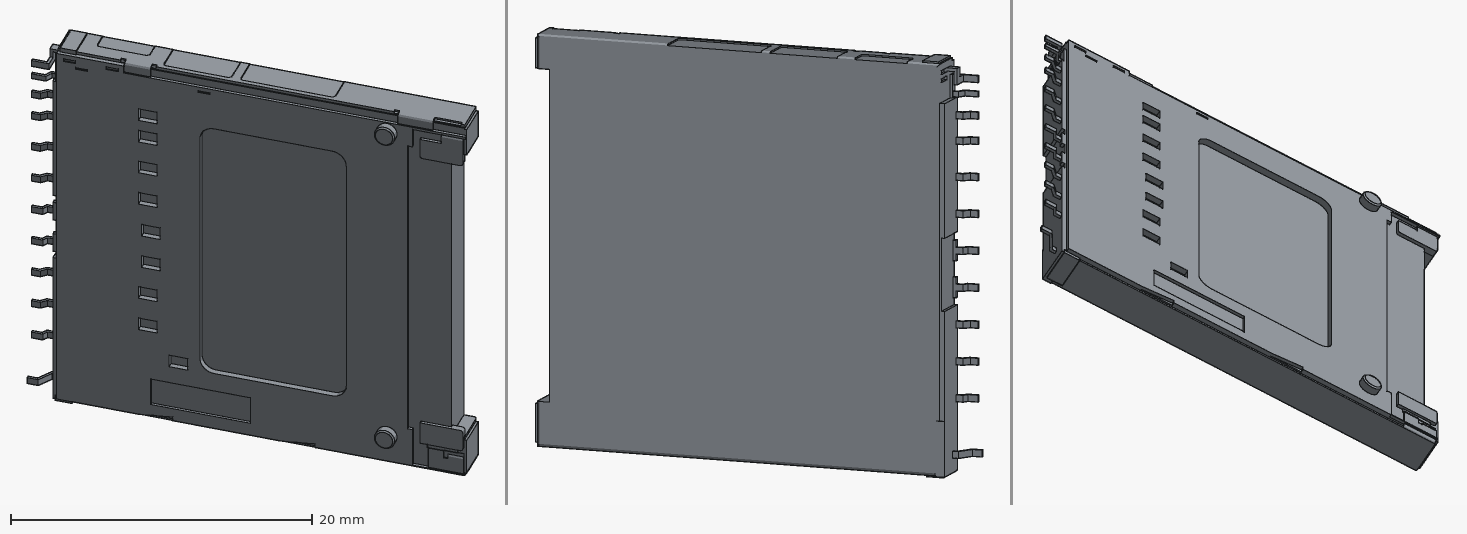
import cadquery as cq


back_y = 1.705
front_y = -1.105
peg_end_y = -1.705
rail_y = -0.88
core_y = -0.78
entry_y = -0.88

plate_left_x = -13.32
shell_right_x = 15.2
shell_half_z = 13.97
plate_half_z = 13.77
plate_step_z = 13.22
back_edge_radius = 0.2
outer_left_x = -15.37
outer_right_x = 15.37
outer_half_z = 14.085

contact_pitch = 2.5
first_contact_z = -9.05
contact_count = 7
row_z = [first_contact_z + i * contact_pitch for i in range(contact_count)]
row_z += [8.4, 10.12]
middle_contacts_z = row_z[3:5]
lead_width = 0.47
lead_thickness = 0.2
lead_exit_y = -0.54
foot_tip_x = -15.08

wall_x = -13.67
wall_back_y = 1.62
wall_front_y = -0.82
wall_top_z = 11.32
wall_gap_top_z = 2.2
wall_gap_bottom_z = -2.75
wall_gap_x = -13.45
overlap = 0.3

entry_plate_x = 11.3
entry_mouth_x = 14.3
entry_top_z = 11.66
entry_bottom_z = -10.88
entry_pocket_x = 11.63
upper_pocket_top_z = 13.05
lower_pocket_bottom_z = -13.7


def box(x0, x1, y0, y1, z0, z1):
    """Box between the given limits on each axis."""
    return cq.Workplane("XY").box(x1 - x0, y1 - y0, z1 - z0, centered=False).translate((x0, y0, z0))


def front_prism(points, y0, y1):
    """Outline given as (x, z) points, filled between two Y levels."""
    return cq.Workplane("XZ", origin=(0, y1, 0)).polyline(points).close().extrude(y1 - y0)


def make_shell():
    """Core with its front plate, top rail and stepped edges."""
    core = box(plate_left_x, shell_right_x, core_y, back_y, -shell_half_z, shell_half_z)
    core = core.edges(">Y").fillet(back_edge_radius)
    rail = box(plate_left_x, shell_right_x, rail_y, core_y, -plate_half_z, plate_half_z)
    plate_step_x = -8.63
    plate = front_prism(
        [
            (plate_left_x, -plate_half_z),
            (shell_right_x, -plate_half_z),
            (shell_right_x, plate_step_z),
            (plate_step_x, plate_step_z),
            (plate_step_x, plate_half_z),
            (plate_left_x, plate_half_z),
        ],
        front_y,
        rail_y,
    )
    return core.union(rail).union(plate)


def add_corner_bumps(part):
    """Thin raised lands at the contact end of both long edges."""
    bump_front_y = -0.85
    for x0, x1, side in ((-13.17, -12.03, 1), (-13.5, -12.3, -1)):
        z0, z1 = sorted((side * outer_half_z, side * (shell_half_z - overlap)))
        part = part.union(box(x0, x1, bump_front_y, wall_back_y - back_edge_radius, z0, z1))
    return part


def cut_top_panels(part):
    """Shallow panels sunk into the top edge and open to the back."""
    panel_depth = 0.1
    corner_radius = 0.25
    for x0, x1, front_limit in ((-11.0, -7.32, 0.3), (-6.07, -1.32, -0.45), (-0.68, 5.95, -0.45)):
        panel = box(x0, x1, front_limit, back_y + 1, shell_half_z - panel_depth, shell_half_z + 1)
        panel = panel.edges("|Z and <Y").fillet(corner_radius)
        part = part.cut(panel)
    return part


def add_bent_tabs(part):
    """Rounded cover tabs folded from the top edge onto the front rail, each in a notch."""
    notch_depth = 0.12
    notch_back_y = -0.55
    tab_radius = 0.3
    tab_stand_off = 0.1
    notch_bottom_z = shell_half_z - notch_depth
    for notch_x0, x0, x1, notch_x1 in ((-8.95, -8.62, -6.78, -6.45), (10.22, 10.55, 13.03, 14.92)):
        part = part.cut(box(notch_x0, notch_x1, core_y, notch_back_y, notch_bottom_z, shell_half_z + 1))
        tab = box(x0, x1, rail_y - tab_stand_off, notch_back_y, plate_step_z, shell_half_z)
        tab = tab.edges("|X and <Y and >Z").fillet(tab_radius)
        part = part.union(tab)
    return part


def add_contact_wall(part):
    """Insulator wall at the contact end, set back across its middle."""
    root_x = plate_left_x + overlap
    wall = box(wall_x, root_x, wall_front_y, wall_back_y, -shell_half_z, wall_top_z)
    gap = box(wall_x, wall_gap_x, front_y, back_y, wall_gap_bottom_z, wall_gap_top_z)
    part = part.union(wall.cut(gap))
    raised_end_z = -10.2
    part = part.union(box(wall_x, root_x, wall_front_y, back_y, -shell_half_z, raised_end_z))
    collar_height = 1.4
    for z in middle_contacts_z:
        part = part.union(
            box(wall_x, root_x, wall_front_y, lead_exit_y, z - collar_height / 2, z + collar_height / 2)
        )
    ledge_x = -13.5
    ledge_back_y = -0.35
    ledge_top_z = 12.9
    return part.union(box(ledge_x, root_x, wall_front_y, ledge_back_y, wall_top_z, ledge_top_z))


def make_lead(z, exit_y, knee_x, ramp_end_x, tip_x, width=lead_width):
    """Gull-wing lead: straight out of the wall, sloping down, then a flat foot."""
    slope_shift = lead_thickness / 2
    profile = [
        (plate_left_x + overlap, exit_y),
        (knee_x, exit_y),
        (ramp_end_x, front_y + lead_thickness),
        (tip_x, front_y + lead_thickness),
        (tip_x, front_y),
        (ramp_end_x + slope_shift, front_y),
        (knee_x + slope_shift, exit_y - lead_thickness),
        (plate_left_x + overlap, exit_y - lead_thickness),
    ]
    return cq.Workplane("XY", origin=(0, 0, z - width / 2)).polyline(profile).close().extrude(width)


def add_leads(part):
    """Contact leads, detect lead, ground lead and the folded switch terminal."""
    knee_x = -14.17
    ramp_end_x = -14.55
    steep_ramp_end_x = -14.38
    steep_leads_z = middle_contacts_z + [first_contact_z]
    for z in row_z:
        ramp_x = steep_ramp_end_x if z in steep_leads_z else ramp_end_x
        part = part.union(make_lead(z, lead_exit_y, knee_x, ramp_x, foot_tip_x))

    detect_z = 11.58
    detect_width = 0.38
    detect_exit_y = -0.4
    detect_knee_x = -13.9
    part = part.union(make_lead(detect_z, detect_exit_y, detect_knee_x, knee_x, foot_tip_x, detect_width))
    ground_z = -12.75
    ground_exit_y = 0.1
    ground_knee_x = -14.07
    ground_ramp_end_x = -14.7
    part = part.union(make_lead(ground_z, ground_exit_y, ground_knee_x, ground_ramp_end_x, outer_left_x))

    post_left_x = -14.05
    post_right_x = -13.83
    post_bottom_z = 12.36
    post_top_z = 13.48
    foot_top_z = 12.83
    post_front_y = -0.3
    post_back_y = 0.3
    arm_bottom_z = post_top_z - (post_right_x - post_left_x)
    root_x = plate_left_x + overlap
    part = part.union(box(post_left_x, root_x, post_front_y, post_back_y, arm_bottom_z, post_top_z))
    part = part.union(box(post_left_x, post_right_x, post_front_y, post_back_y, post_bottom_z, post_top_z))
    part = part.union(box(post_left_x, post_right_x, front_y, post_front_y, post_bottom_z, foot_top_z))
    foot_back_y = front_y + lead_thickness
    return part.union(box(foot_tip_x, post_right_x, front_y, foot_back_y, post_bottom_z, foot_top_z))


def cut_end_grooves(part):
    """Two short grooves in the end face beside the switch terminal."""
    groove_right_x = plate_left_x + 0.2
    groove_front_y = 0.3
    groove_back_y = 1.28
    for z0, z1 in ((13.2, 13.48), (12.67, 12.92)):
        part = part.cut(box(plate_left_x - 1, groove_right_x, groove_front_y, groove_back_y, z0, z1))
    return part


def cut_front_pocket(part, x0, x1, z0, z1, depth):
    """Rectangular pocket sunk into the front plate."""
    return part.cut(box(x0, x1, front_y - 1, front_y + depth, z0, z1))


def cut_contact_windows(part):
    """One window in the front plate ahead of each row contact."""
    window_length = 1.3
    window_height = 0.92
    window_depth = 0.4
    window_x = -7.57
    middle_shift = 0.22
    first_shift = 2.15
    for z in row_z:
        x0 = window_x
        if z in middle_contacts_z:
            x0 += middle_shift
        if z == first_contact_z:
            x0 += first_shift
        z0 = z - window_height / 2
        part = cut_front_pocket(part, x0, x0 + window_length, z0, z0 + window_height, window_depth)
    return part


def cut_front_recesses(part):
    """Large rounded window, label recess, narrow slits and wedge notches in the front plate."""
    window_radius = 1.0
    window_depth = 0.45
    window = box(-3.26, 7.0, front_y - 1, front_y + window_depth, -9.38, 10.12)
    part = part.cut(window.edges("|Y").fillet(window_radius))

    label_depth = 0.2
    part = cut_front_pocket(part, -6.71, 0.28, -12.8, -10.77, label_depth)

    slit_depth = 0.1
    slit_length = 0.85
    slit_rows = ((12.86, 0.12, (-12.0, -3.41)), (13.34, 0.2, (-12.84, -9.85)))
    for z, height, starts_x in slit_rows:
        for x0 in starts_x:
            part = cut_front_pocket(part, x0, x0 + slit_length, z - height / 2, z + height / 2, slit_depth)

    notch_length = 2.4
    notch_height = 0.3
    for x0 in (-7.58, 2.4):
        x1 = x0 + notch_length
        notch = front_prism(
            [(x0, -plate_half_z), (x1, -plate_half_z), (x1, notch_height - plate_half_z)], front_y - 1, rail_y
        )
        part = part.cut(notch)
    return part


def cut_card_entry(part):
    """Set-back ledge, open mouth and side pockets where the card goes in."""
    past_right = shell_right_x + 1
    part = part.cut(box(entry_plate_x, past_right, front_y - 1, entry_y, entry_bottom_z, entry_top_z))
    part = part.cut(box(entry_mouth_x, past_right, front_y - 1, back_y + 1, entry_bottom_z, entry_top_z))
    part = part.cut(
        box(entry_pocket_x, past_right, front_y - 1, entry_y, entry_top_z, upper_pocket_top_z)
    )
    return part.cut(
        box(entry_pocket_x, past_right, front_y - 1, entry_y, lower_pocket_bottom_z, entry_bottom_z)
    )


def add_entry_tabs(part):
    """Solder tabs on both sides of the mouth, with the bent metal they hang from."""
    tab_left_x = 12.16
    tab_right_x = 15.17
    corner_radius = 0.2
    tab_back_y = front_y + 0.45
    bend_radius = 0.28

    upper_tab = box(tab_left_x, tab_right_x, front_y, tab_back_y, 10.88, 12.37)
    upper_tab = upper_tab.edges("|Y and <Z").fillet(corner_radius)
    part = part.union(upper_tab)
    upper_root = box(13.65, tab_right_x, front_y, tab_back_y, 12.3, upper_pocket_top_z)
    part = part.union(upper_root.edges("|X and >Z and <Y").fillet(bend_radius))

    lower_tab_bottom_z = -11.84
    foot_top_z = -12.17
    lower_tab = box(tab_left_x, tab_right_x, front_y, tab_back_y, lower_tab_bottom_z, -10.22)
    lower_tab = lower_tab.edges("|Y and >X").fillet(corner_radius)
    part = part.union(lower_tab)
    neck_y = front_y + 0.15
    part = part.union(box(12.62, 14.75, neck_y, tab_back_y, foot_top_z, lower_tab_bottom_z))

    tongue_bottom_z = -12.72
    foot_y = front_y + 0.1
    slot_y = foot_y + 0.1
    foot = box(12.7, tab_right_x, foot_y, tab_back_y, -shell_half_z, foot_top_z)
    foot = foot.edges("|X and <Z and <Y").fillet(bend_radius)
    foot = foot.cut(box(13.78, tab_right_x, foot_y, slot_y, tongue_bottom_z, foot_top_z))
    tongue = box(14.08, tab_right_x, foot_y, tab_back_y, tongue_bottom_z, -12.36)
    tongue = tongue.edges("|X and >Z and <Y").fillet(bend_radius)
    return part.union(foot).union(tongue)


def add_end_flanges(part):
    """Thin flanges on both end faces beside the mouth, with the front plate run out over one."""
    flange_back_y = 1.5
    flange_top_z = 13.69
    root_x = shell_right_x - overlap
    for z0, z1 in ((entry_top_z, flange_top_z), (lower_pocket_bottom_z, -11.08)):
        part = part.union(box(root_x, outer_right_x, entry_y, flange_back_y, z0, z1))
    return part.union(box(root_x, outer_right_x, front_y, entry_y, upper_pocket_top_z, plate_step_z))


def add_pegs(part):
    """Locating pegs under the front plate."""
    peg_x = 9.85
    peg_diameter = 1.42
    peg_chamfer = 0.1
    for z in (12.44, -11.72):
        peg = cq.Workplane("XZ", origin=(peg_x, front_y + overlap, z)).circle(peg_diameter / 2)
        peg = peg.extrude(front_y + overlap - peg_end_y).faces("<Y").chamfer(peg_chamfer)
        part = part.union(peg)
    return part


result = make_shell()
result = cut_top_panels(result)
result = add_bent_tabs(result)
result = add_corner_bumps(result)
result = add_contact_wall(result)
result = cut_end_grooves(result)
result = add_leads(result)
result = cut_contact_windows(result)
result = cut_front_recesses(result)
result = cut_card_entry(result)
result = add_entry_tabs(result)
result = add_end_flanges(result)
result = add_pegs(result)